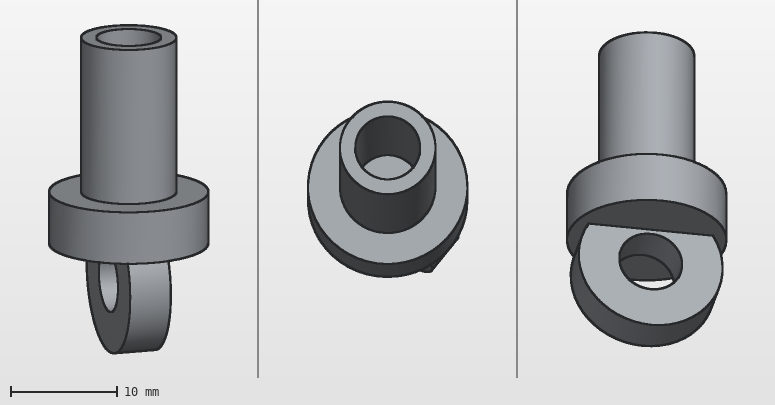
import cadquery as cq

total_height = 30.4

flange_diameter = 15.0
flange_height = 5.0

tube_diameter = 9.0
tube_length = 15.0
bore_diameter = 6.1
bore_depth = tube_length

eye_diameter = 13.8
eye_thickness = 4.0
eye_hole_diameter = 6.02
eye_drop = total_height - tube_length - flange_height
eye_center_z = eye_diameter / 2 - eye_drop


def make_flange():
    return cq.Workplane("XY").circle(flange_diameter / 2).extrude(flange_height)


def make_tube():
    return (
        cq.Workplane("XY", origin=(0, 0, flange_height))
        .circle(tube_diameter / 2)
        .extrude(tube_length)
        .faces(">Z")
        .workplane()
        .hole(bore_diameter, bore_depth)
    )


def make_eye():
    ring = (
        cq.Workplane("XZ", origin=(0, 0, eye_center_z))
        .circle(eye_diameter / 2)
        .circle(eye_hole_diameter / 2)
        .extrude(eye_thickness / 2, both=True)
    )
    below_flange = cq.Workplane("XY").rect(eye_diameter, eye_thickness).extrude(-eye_drop)
    return ring.intersect(below_flange)


result = make_flange().union(make_tube()).union(make_eye())